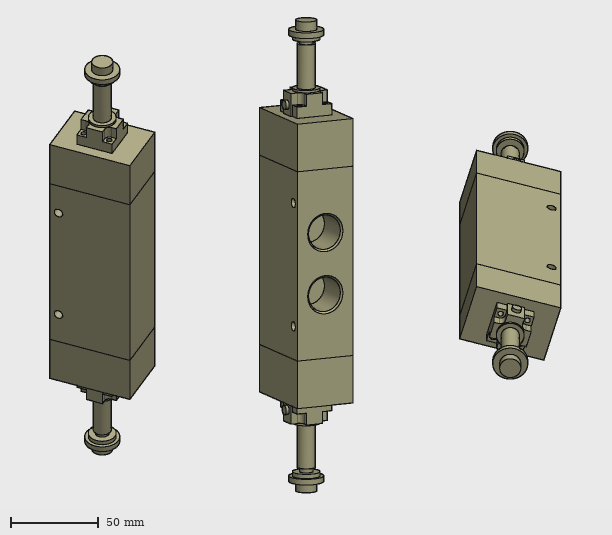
import cadquery as cq

TOTAL_LENGTH = 274.0
WIDTH = 50.0
DEPTH = 35.0

BODY_LENGTH = 110.1
CAP_LENGTH = 27.7
CAP_TOP = BODY_LENGTH / 2 + CAP_LENGTH

PORT_DIAMETER = 20.0
PORT_MOUTH_DIAMETER = 22.2
PORT_DEPTH = 22.0
PORT_SPACING = 36.2

MOUNT_DIAMETER = 5.2
MOUNT_X = -19.5
MOUNT_SPACING = 71.8

BLOCK_WIDTH = 22.0
FOOT_HEIGHT = 6.5
BLOCK_HEIGHT = 13.5
SCREW_DIAMETER = 3.0
SCREW_SPACING = 16.0
NOTCH_DIAMETER = 5.8
NOTCH_RADIUS = NOTCH_DIAMETER / 2
RIB_WIDTH = SCREW_SPACING - NOTCH_DIAMETER

COLLAR_DIAMETER = 16.0
COLLAR_HEIGHT = 1.5
STEM_DIAMETER = 10.5
STEM_LENGTH = 25.8
NECK_DIAMETER = 8.0
NECK_LENGTH = 2.5
NUT_DIAMETER = 20.0
NUT_HEIGHT = 3.3
WASHER_HEIGHT = 2.5
TIP_DIAMETER = 12.0

PAD_THICKNESS = 1.0
BUTTON_DIAMETER = 5.5
BUTTON_REACH = 3.0
BUTTON_HEIGHT = 6.0


def cylinder(diameter, bottom, top):
    """A cylinder on the Z axis between two heights."""
    return cq.Workplane("XY").workplane(offset=bottom).circle(diameter / 2).extrude(top - bottom)


def make_valve_body():
    body = cq.Workplane("XY").box(WIDTH, DEPTH, BODY_LENGTH)
    mouth_chamfer = (PORT_MOUTH_DIAMETER - PORT_DIAMETER) / 2
    for side in (-1, 1):
        port_face = cq.Workplane("YZ", origin=(-WIDTH / 2, 0, side * PORT_SPACING / 2))
        body = body.cut(port_face.circle(PORT_DIAMETER / 2).extrude(PORT_DEPTH))
        mouth = (
            port_face.circle(PORT_MOUTH_DIAMETER / 2)
            .workplane(offset=mouth_chamfer)
            .circle(PORT_DIAMETER / 2)
            .loft()
        )
        body = body.cut(mouth)
        mount = cq.Workplane("XZ", origin=(MOUNT_X, 0, side * MOUNT_SPACING / 2))
        body = body.cut(mount.circle(MOUNT_DIAMETER / 2).extrude(DEPTH / 2, both=True))
    return body


def make_corner_cutter():
    """Screw hole and the notch above it at the +X, +Y corner, rounded about the hole axis."""
    notch_width = (BLOCK_WIDTH - RIB_WIDTH) / 2
    notch = (
        cq.Workplane("XY", origin=(RIB_WIDTH / 2, RIB_WIDTH / 2, CAP_TOP + FOOT_HEIGHT))
        .rect(notch_width, notch_width, centered=False)
        .extrude(BLOCK_HEIGHT - FOOT_HEIGHT)
        .edges("|Z")
        .edges("<(1, 1, 0)")
        .fillet(NOTCH_RADIUS)
    )
    screw_hole = cylinder(SCREW_DIAMETER, CAP_TOP, CAP_TOP + FOOT_HEIGHT)
    return notch.union(screw_hole.translate((SCREW_SPACING / 2, SCREW_SPACING / 2, 0)))


def make_pilot_block():
    block = (
        cq.Workplane("XY")
        .workplane(offset=CAP_TOP)
        .rect(BLOCK_WIDTH, BLOCK_WIDTH)
        .extrude(BLOCK_HEIGHT)
    )
    cutter = make_corner_cutter()
    for angle in (0, 90, 180, 270):
        block = block.cut(cutter.rotate((0, 0, 0), (0, 0, 1), angle))
    return block


def make_override():
    """Raised pad on the +Y side, as wide as the block between its notches, with a round button."""
    face_y = BLOCK_WIDTH / 2
    pad = (
        cq.Workplane("XZ", origin=(0, face_y, CAP_TOP + BLOCK_HEIGHT / 2))
        .rect(RIB_WIDTH, BLOCK_HEIGHT)
        .extrude(-PAD_THICKNESS)
    )
    button = (
        cq.Workplane("XZ", origin=(0, face_y, CAP_TOP + BUTTON_HEIGHT))
        .circle(BUTTON_DIAMETER / 2)
        .extrude(-BUTTON_REACH)
    )
    return pad.union(button)


def make_stem():
    collar_bottom = CAP_TOP + BLOCK_HEIGHT
    stem_bottom = collar_bottom + COLLAR_HEIGHT
    neck_bottom = stem_bottom + STEM_LENGTH
    washer_bottom = neck_bottom + NECK_LENGTH
    nut_bottom = washer_bottom + WASHER_HEIGHT
    tip_bottom = nut_bottom + NUT_HEIGHT
    stem = cylinder(COLLAR_DIAMETER, collar_bottom, stem_bottom)
    stem = stem.union(cylinder(STEM_DIAMETER, stem_bottom, neck_bottom))
    stem = stem.union(cylinder(NECK_DIAMETER, neck_bottom, washer_bottom))
    stem = stem.union(cylinder(COLLAR_DIAMETER, washer_bottom, nut_bottom))
    stem = stem.union(cylinder(NUT_DIAMETER, nut_bottom, tip_bottom))
    return stem.union(cylinder(TIP_DIAMETER, tip_bottom, TOTAL_LENGTH / 2))


def make_end_unit():
    """The end cap at +Z with its pilot block, override and stem."""
    cap = cq.Workplane("XY").workplane(offset=BODY_LENGTH / 2).rect(WIDTH, DEPTH).extrude(CAP_LENGTH)
    return cap.union(make_pilot_block()).union(make_override()).union(make_stem())


valve_body = make_valve_body()
upper_end = make_end_unit()
end_units = [upper_end, upper_end.mirror("XY")]

result = cq.Compound.makeCompound([valve_body.val(), *[unit.val() for unit in end_units]])